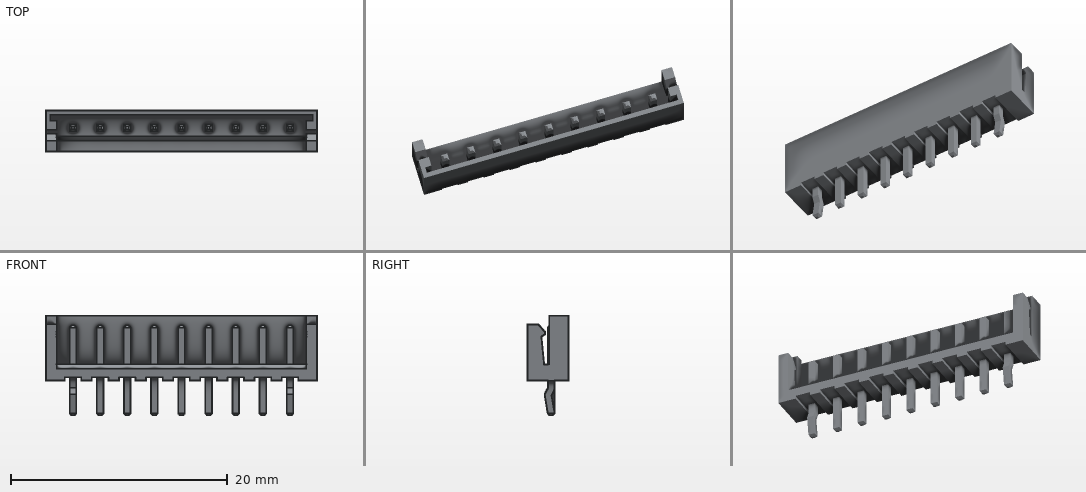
import cadquery as cq

pin_count = 9
pin_pitch = 2.5
pin_width = 0.64
pin_top = 5.1
pin_bottom = -3.2
pin_tip_height = 0.2
pin_tip_width = 0.25

end_margin = 2.5
length = (pin_count - 1) * pin_pitch + 2 * end_margin
depth = 3.8
height = 6.0
back_y = 1.6
front_y = back_y - depth

back_wall = 0.42
end_wall = 1.0
thin_end_wall = 0.4
post_lip_y = back_y - 0.95
floor_z = 1.5
ledge_z = 1.12
slope_back_y = back_y - 2.4
slope_front_y = back_y - 2.8

post_front_y = back_y - 1.8
slot_root_y = back_y - 2.25
latch_neck_y = back_y - 2.5
latch_neck_z = 4.07
latch_nose_y = back_y - 2.17
latch_nose_bottom_z = 4.27
latch_nose_top_z = 4.5
latch_top_y = back_y - 2.8
latch_top_z = 5.2

notch_width = 1.5
notch_depth = 0.3

kink_start_z = -0.65
kink_peak_z = -1.27
kink_offset = 0.3
kink_end_offset = 0.02
kink_back_drop = 0.1

pin_positions = [(i - (pin_count - 1) / 2) * pin_pitch for i in range(pin_count)]


def box_between(x_range, y_range, z_range):
    """Axis-aligned box from its lower and upper limits."""
    size = [upper - lower for lower, upper in (x_range, y_range, z_range)]
    corner = (x_range[0], y_range[0], z_range[0])
    return cq.Workplane("XY").box(*size, centered=False).translate(corner)


def extrude_yz(points, width):
    """Closed Y-Z outline, extruded symmetrically about X = 0."""
    return cq.Workplane("YZ").polyline(points).close().extrude(width / 2, both=True)


def make_cavity():
    """Opening between the end walls, running out through the front over a sloped ledge."""
    mouth_outline = [
        (back_y - back_wall, height),
        (back_y - back_wall, floor_z),
        (slope_back_y, floor_z),
        (slope_front_y, ledge_z),
        (front_y, ledge_z),
        (front_y, height),
    ]
    mouth = extrude_yz(mouth_outline, length - 2 * end_wall)
    undercut_x = length / 2 - thin_end_wall
    undercut = box_between(
        (-undercut_x, undercut_x), (post_lip_y, back_y - back_wall), (floor_z, height)
    )
    return mouth.union(undercut)


def make_end_slots():
    """Slot through both end walls that leaves a post behind and a hooked latch in front."""
    outline = [
        (post_front_y, height),
        (post_front_y, floor_z),
        (slot_root_y, floor_z),
        (latch_neck_y, latch_neck_z),
        (latch_nose_y, latch_nose_bottom_z),
        (latch_nose_y, latch_nose_top_z),
        (latch_top_y, latch_top_z),
        (front_y, latch_top_z),
        (front_y, height),
    ]
    return extrude_yz(outline, length)


def make_housing():
    half_length = length / 2
    housing = box_between((-half_length, half_length), (front_y, back_y), (0, height))
    housing = housing.cut(make_cavity()).cut(make_end_slots())
    for x in pin_positions:
        notch_x = (x - notch_width / 2, x + notch_width / 2)
        housing = housing.cut(box_between(notch_x, (front_y, back_y), (0, notch_depth)))
    return housing


def make_pin_tip(base_y, base_z, end_z):
    """Square frustum from the pin section at base_z to the small flat at end_z."""
    return (
        cq.Workplane("XY", origin=(0, base_y, base_z))
        .rect(pin_width, pin_width)
        .workplane(offset=end_z - base_z)
        .rect(pin_tip_width, pin_tip_width)
        .loft(ruled=True)
    )


def make_pin(kinked):
    """Square pin with tapered ends; a kinked pin has its tail bent towards the front."""
    half = pin_width / 2
    shoulder_top = pin_top - pin_tip_height
    shoulder_bottom = pin_bottom + pin_tip_height
    bends = [(0, kink_start_z), (-kink_offset, kink_peak_z)] if kinked else []
    tail_y = -kink_end_offset if kinked else 0
    front_bends = [(y - half, z) for y, z in bends]
    back_bends = [(y + half, z - kink_back_drop) for y, z in reversed(bends)]
    outline = [
        (-half, shoulder_top),
        *front_bends,
        (tail_y - half, shoulder_bottom),
        (tail_y + half, shoulder_bottom),
        *back_bends,
        (half, shoulder_top),
    ]
    shank = extrude_yz(outline, pin_width)
    top_tip = make_pin_tip(0, shoulder_top, pin_top)
    bottom_tip = make_pin_tip(tail_y, shoulder_bottom, pin_bottom)
    return shank.union(top_tip).union(bottom_tip)


result = make_housing()
for x in pin_positions:
    is_end_pin = x in (pin_positions[0], pin_positions[-1])
    result = result.union(make_pin(is_end_pin).translate((x, 0, 0)))